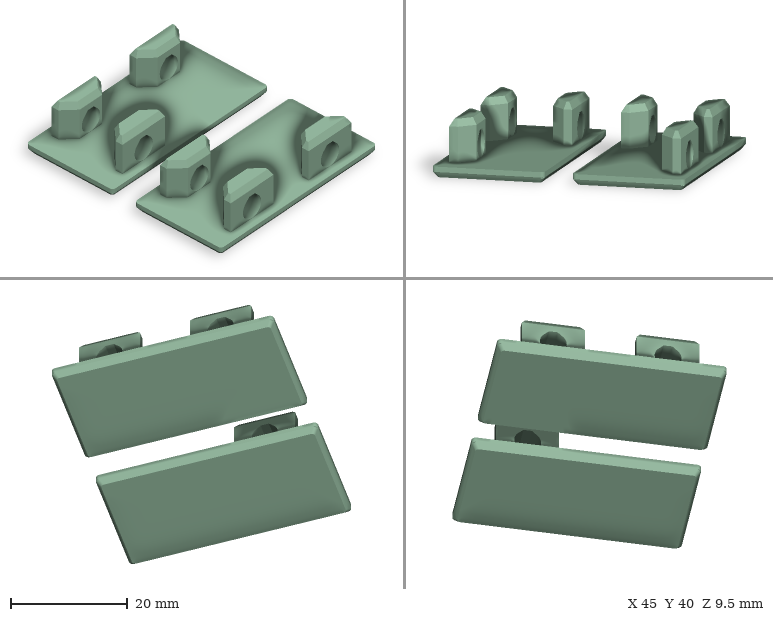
import cadquery as cq
import math

total_width = 45.0
plate_gap = 5.0
plate_length = 40.0
plate_width = (total_width - plate_gap) / 2
total_height = 9.5

plate_thickness = 2.0
plate_bevel_height = 1.05
plate_bevel_inset = 0.75
corner_radius = 1.5 / 2

clip_edge_offset = 1.85
clip_depth = 4.15
clip_length = 11.0
clip_slope = 2.6
clip_height = total_height - plate_thickness
clip_bevel_height = 1.25
clip_bevel_inset = 0.7
clip_y = plate_length / 4

hole_radius = 2.35
hole_center_height = 2.4
hole_roof_rise = 2.55
roof_tangent = hole_radius * math.sqrt(0.5)
roof_half_width = 2 * roof_tangent - hole_roof_rise


def taper_angle(inset, height):
    """Draft angle, in degrees, of a bevel that moves in by inset over height."""
    return math.degrees(math.atan2(inset, height))


def make_plate():
    """Plate centred on X = Y = 0, resting on Z = 0."""
    upper = (
        cq.Workplane("XY")
        .workplane(offset=plate_bevel_height)
        .rect(plate_width, plate_length)
        .extrude(plate_thickness - plate_bevel_height)
    )
    bevel = (
        cq.Workplane("XY")
        .workplane(offset=plate_bevel_height)
        .rect(plate_width, plate_length)
        .extrude(-plate_bevel_height, taper=taper_angle(plate_bevel_inset, plate_bevel_height))
    )
    plate = upper.union(bevel)
    return plate.edges("not (#Z)").fillet(corner_radius)


def make_clip():
    """Clip with its flat back on X = 0 and its foot on Z = 0, narrowing toward +X."""
    half_length = clip_length / 2
    outline = [
        (0, -half_length),
        (clip_depth - clip_slope, -half_length),
        (clip_depth, clip_slope - half_length),
        (clip_depth, half_length - clip_slope),
        (clip_depth - clip_slope, half_length),
        (0, half_length),
    ]
    straight_height = clip_height - clip_bevel_height
    post = cq.Workplane("XY").polyline(outline).close().extrude(straight_height)
    tip = (
        cq.Workplane("XY")
        .workplane(offset=straight_height)
        .polyline(outline)
        .close()
        .extrude(clip_bevel_height, taper=taper_angle(clip_bevel_inset, clip_bevel_height))
    )
    hole = (
        cq.Workplane("YZ")
        .center(0, hole_center_height)
        .moveTo(-roof_half_width, hole_roof_rise)
        .lineTo(-roof_tangent, roof_tangent)
        .threePointArc((0, -hole_radius), (roof_tangent, roof_tangent))
        .lineTo(roof_half_width, hole_roof_rise)
        .close()
        .extrude(clip_depth)
    )
    return post.union(tip).cut(hole)


def make_left_cover():
    """Plate with two clips on its outer side and one on its inner side."""
    back_x = plate_width / 2 - clip_edge_offset
    outer_clip = make_clip().translate((-back_x, 0, plate_thickness))
    inner_clip = outer_clip.mirror("YZ")
    cover = make_plate()
    for clip, y in ((outer_clip, -clip_y), (outer_clip, clip_y), (inner_clip, -clip_y)):
        cover = cover.union(clip.translate((0, y, 0)))
    return cover.translate((-(plate_width + plate_gap) / 2, 0, 0))


left_cover = make_left_cover()
right_cover = left_cover.mirror("YZ")

result = cq.Compound.makeCompound([left_cover.val(), right_cover.val()])